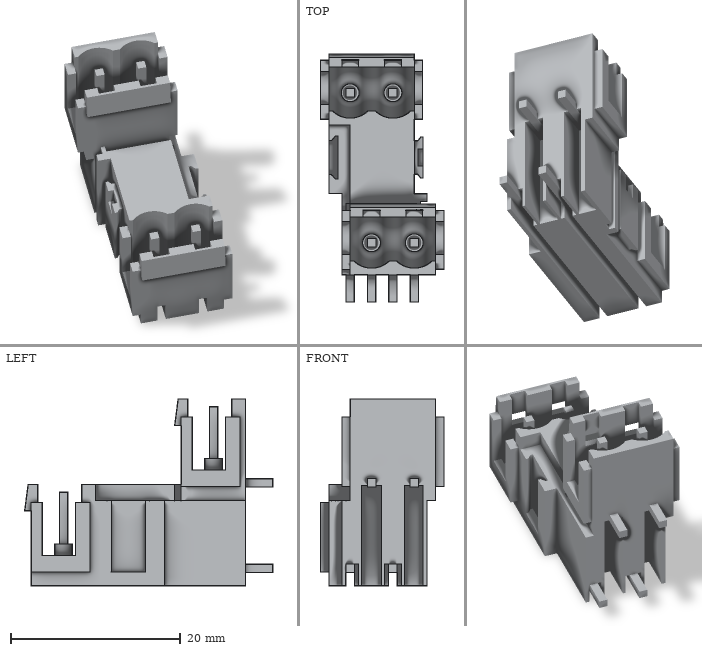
import cadquery as cq
import math


pitch = 5.05
pins_per_level = 2
pin_size = 1.0
pin_y = 3.8
leg_z = 2.1
leg_reach = 3.24
pin_top = 11.12
pin_offsets = [pitch * (n + 0.5) for n in range(pins_per_level)]

level_width = pitch * pins_per_level
level_depth = 7.65
level_height = 12.03
lower_level = (0, 17.75, 0)
upper_level = (pitch / 2, 0, 10.12)

cavity_floor = 3.62
front_wall = 1.65
back_wall_y = 6.82
scallop_radius = 3.0
collar_radius = 1.05
collar_top = 5.0

crest_half_width = 1.3
trough_half_width = 1.03
flank_angle = math.radians(55)

flange_thickness = 1.0
flange_front = 0.65
flange_bottom = 1.65
flange_top = 9.9
flange_gap_front = 2.38
flange_gap_back = 6.3

lip_bottom = 8.88
lip_top_y = 8.0
lip_bottom_y = 8.4
window_width = 2.0
window_depth = 0.88
window_bottom = 8.03

front_block_left = 1.53
front_block_back = 9.62
base_height = upper_level[2]
base_back = lower_level[1] + level_depth

trench_wall = 0.5
trench_width = 0.8
trench_depth = 1.0
groove_width = 0.75
groove_back = 8.68

joint_y = 13.88
joint_bottom = flange_bottom
socket_neck_width = 4.0
socket_width = 5.05
socket_depth = 1.05
socket_neck_depth = 0.3
tongue_width = 4.88
tongue_neck_depth = 0.4
taper_end_depth = 0.75
notch_width = 2.0
notch_height = 2.0

slot_width = 2.35
slot_top = 11.9
last_slot_right = 11.15
slot_depth = pin_y + pin_size / 2
leg_recess_width = 2.0
leg_recess_top = leg_z + pin_size / 2


def block(x_range, y_range, z_range):
    """Box given by its start and end along each axis."""
    spans = [end - start for start, end in (x_range, y_range, z_range)]
    corner = (x_range[0], y_range[0], z_range[0])
    return cq.Workplane("XY").box(*spans, centered=False).translate(corner)


def centred(middle, width):
    """Start and end of a width placed evenly about its middle."""
    return (middle - width / 2, middle + width / 2)


def wavy_space():
    """Everything above the wavy cavity floor, over the full width and depth of a level."""
    crest_radius = crest_half_width / math.sin(flank_angle)
    trough_radius = trough_half_width / math.sin(flank_angle)
    flank_width = pitch / 2 - crest_half_width - trough_half_width
    crest_edge = cavity_floor - crest_radius * (1 - math.cos(flank_angle))
    trough_edge = crest_edge - flank_width * math.tan(flank_angle)
    trough_bottom = trough_edge - trough_radius * (1 - math.cos(flank_angle))

    outline = cq.Workplane("XZ").moveTo(-trough_half_width, trough_edge)
    for x in pin_offsets:
        trough_x = x - pitch / 2
        outline = (
            outline.threePointArc((trough_x, trough_bottom), (trough_x + trough_half_width, trough_edge))
            .lineTo(x - crest_half_width, crest_edge)
            .threePointArc((x, cavity_floor), (x + crest_half_width, crest_edge))
            .lineTo(x + pitch / 2 - trough_half_width, trough_edge)
        )
    outline = (
        outline.threePointArc((level_width, trough_bottom), (level_width + trough_half_width, trough_edge))
        .lineTo(level_width + trough_half_width, level_height)
        .lineTo(-trough_half_width, level_height)
        .close()
    )
    return outline.extrude(-level_depth)


def mating_cavity():
    """Room for the plug: open at both sides, with a scalloped front wall."""
    room = block(
        (-trough_half_width, level_width + trough_half_width),
        (front_wall, back_wall_y),
        (0, level_height),
    )
    for x in pin_offsets:
        room = room.union(cq.Workplane("XY").center(x, pin_y).circle(scallop_radius).extrude(level_height))
    side_trim = block((0, level_width), (0, level_depth), (0, level_height))
    return wavy_space().intersect(room).intersect(side_trim)


def flange(x_start):
    """U-shaped side flange, open at the top."""
    x_range = (x_start, x_start + flange_thickness)
    plate = block(x_range, (flange_front, level_depth), (flange_bottom, flange_top))
    gap = block(x_range, (flange_gap_front, flange_gap_back), (cavity_floor, flange_top))
    return plate.cut(gap)


def latch_lip():
    """Wedge along the outside of the back wall."""
    return (
        cq.Workplane("YZ")
        .moveTo(level_depth, lip_bottom)
        .lineTo(lip_bottom_y, lip_bottom)
        .lineTo(lip_top_y, level_height)
        .lineTo(level_depth, level_height)
        .close()
        .extrude(level_width)
    )


def header_level():
    """One level of the housing, standing at the origin."""
    level = block((0, level_width), (0, level_depth), (0, level_height)).union(latch_lip())
    level = level.cut(mating_cavity())
    for x_start in (-flange_thickness, level_width):
        level = level.union(flange(x_start))
    for x in pin_offsets:
        window = block(
            centred(x, window_width),
            (back_wall_y, back_wall_y + window_depth),
            (window_bottom, level_height),
        )
        collar = (
            cq.Workplane("XY", origin=(x, pin_y, flange_bottom))
            .circle(collar_radius)
            .extrude(collar_top - flange_bottom)
        )
        level = level.cut(window).union(collar)
    return level


def base():
    """Stepped block that carries the upper level and joins it to the lower one."""
    front_block_right = front_block_left + level_width
    deck_top = level_height
    front = block((front_block_left, front_block_right), (0, front_block_back), (0, base_height))
    rear = block((0, level_width), (front_block_back, lower_level[1]), (0, base_height))
    deck = block((upper_level[0], level_width), (level_depth, lower_level[1]), (base_height, deck_top))
    shoulder = block((level_width, front_block_right), (level_depth, front_block_back), (base_height, deck_top))
    trench = block(
        (front_block_left + trench_wall, front_block_right - groove_width - trench_wall),
        (level_depth, level_depth + trench_width),
        (base_height - trench_depth, deck_top),
    )
    groove = block(
        (front_block_right - groove_width, front_block_right),
        (level_depth, groove_back),
        (0, deck_top),
    )
    return front.union(rear).union(deck).union(shoulder).cut(trench).cut(groove)


def dovetail(x_start, neck_width, head_width, neck_depth):
    """Upright dovetail that widens along X from a neck to a head."""
    neck = neck_width / 2
    head = head_width / 2
    half = [(0, neck), (neck_depth, neck), (taper_end_depth, head), (socket_depth, head)]
    mirrored = [(x, -y) for x, y in reversed(half)]
    return (
        cq.Workplane("XY", origin=(x_start, joint_y, joint_bottom))
        .polyline(half + mirrored)
        .close()
        .extrude(base_height - joint_bottom)
    )


def tongue():
    """Dovetail tongue on the right side, notched at its top."""
    notch = block(
        (level_width + tongue_neck_depth, level_width + socket_depth),
        centred(joint_y, notch_width),
        (base_height - notch_height, base_height),
    )
    return dovetail(level_width, socket_neck_width, tongue_width, tongue_neck_depth).cut(notch)


def upper_leg_slots():
    """Tall slots in the front face below the upper legs, open at the bottom."""
    slots = cq.Workplane("XY")
    for offset in pin_offsets:
        left, right = centred(upper_level[0] + offset, slot_width)
        slots = slots.union(block((left, min(right, last_slot_right)), (0, slot_depth), (0, slot_top)))
    return slots


def lower_leg_channels():
    """Open channels along the underside for the lower legs, widened at the front face."""
    channels = cq.Workplane("XY")
    first_leg_left = pin_offsets[0] - pin_size / 2
    for x in pin_offsets:
        channel = block(centred(x, pin_size), (0, base_back), (0, leg_recess_top))
        left, right = centred(x, leg_recess_width)
        recess = block((max(left, first_leg_left), right), (0, slot_depth), (0, leg_recess_top))
        channels = channels.union(channel).union(recess)
    return channels


def pin(level, offset):
    """Square pin bent at a right angle: an upright contact and a leg out of the front face."""
    x, y, z = level
    x_range = centred(x + offset, pin_size)
    leg_bottom = z + leg_z - pin_size / 2
    contact_y = centred(y + pin_y, pin_size)
    contact = block(x_range, contact_y, (leg_bottom, z + pin_top))
    leg = block(x_range, (-leg_reach, contact_y[1]), (leg_bottom, leg_bottom + pin_size))
    return contact.union(leg)


levels = (lower_level, upper_level)
pins = [pin(level, offset) for level in levels for offset in pin_offsets]

housing = base()
for level in levels:
    housing = housing.union(header_level().translate(level))
housing = housing.union(tongue())
housing = housing.cut(dovetail(0, socket_neck_width, socket_width, socket_neck_depth))
housing = housing.cut(upper_leg_slots())
housing = housing.cut(lower_leg_channels())
for body in pins:
    housing = housing.cut(body)

result = cq.Compound.makeCompound([housing.val(), *[body.val() for body in pins]])